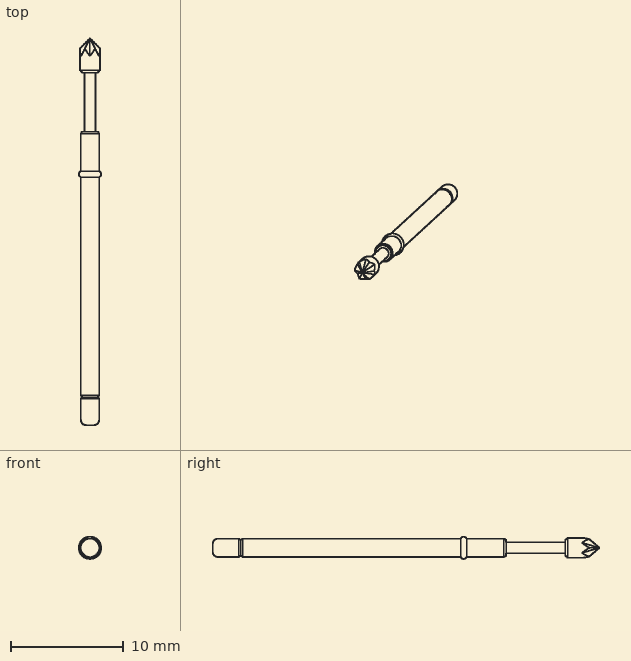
import cadquery as cq
import math

total_length = 34.3

barrel_radius = 0.82
barrel_length = 26.05
mouth_chamfer_length = 0.2
mouth_chamfer_depth = 0.1
tail_fillet = 0.48

ring_radius = 1.0
ring_center = 22.25
ring_width = 0.5

groove_center = 2.5
groove_width = 0.35
groove_depth = 0.15

shaft_diameter = 1.0
head_radius = 0.9
head_length = 3.05
head_back_radius = 0.7
head_back_length = 0.25

ridge_count = 6
ridge_half_angle = 45.0
valley_half_angle = 30.0


def rod(radius, start, length):
    """Cylinder around the Y axis."""
    return cq.Workplane("XZ", origin=(0, start, 0)).circle(radius).extrude(-length)


def make_ring():
    """Ring bulging out of the barrel surface with an arc section."""
    half_width = ring_width / 2
    return (
        cq.Workplane("XY")
        .moveTo(barrel_radius, ring_center - half_width)
        .threePointArc((ring_radius, ring_center), (barrel_radius, ring_center + half_width))
        .close()
        .revolve(360, (0, 0, 0), (0, 1, 0))
    )


def make_crimp_groove():
    """Ring with a V section that dips into the barrel surface."""
    half_width = groove_width / 2
    return (
        cq.Workplane("XY")
        .moveTo(barrel_radius, groove_center - half_width)
        .lineTo(barrel_radius - groove_depth, groove_center)
        .lineTo(barrel_radius, groove_center + half_width)
        .close()
        .revolve(360, (0, 0, 0), (0, 1, 0))
    )


def make_barrel():
    body = rod(barrel_radius, 0, barrel_length).faces("<Y").edges().fillet(tail_fillet)
    body = body.faces(">Y").edges().chamfer(mouth_chamfer_length, mouth_chamfer_depth)
    body = body.union(make_ring())
    return body.cut(make_crimp_groove())


def make_star_point():
    """Star pyramid with its apex at the tip and its base at the back of the head."""
    base_y = total_length - head_length
    apex = cq.Vector(0, total_length, 0)
    corner_count = 2 * ridge_count
    corners = []
    for i in range(corner_count):
        half_angle = ridge_half_angle if i % 2 == 0 else valley_half_angle
        radius = head_length * math.tan(math.radians(half_angle))
        turn = 2 * math.pi * i / corner_count
        corners.append(cq.Vector(radius * math.cos(turn), base_y, radius * math.sin(turn)))

    faces = [cq.Face.makeFromWires(cq.Wire.makePolygon(corners, close=True))]
    for i in range(corner_count):
        triangle = [apex, corners[i], corners[(i + 1) % corner_count]]
        faces.append(cq.Face.makeFromWires(cq.Wire.makePolygon(triangle, close=True)))
    return cq.Workplane(cq.Solid.makeSolid(cq.Shell.makeShell(faces)))


def make_head():
    blank = rod(head_radius, total_length - head_length, head_length)
    blank = blank.faces("<Y").edges().chamfer(head_back_length, head_radius - head_back_radius)
    return blank.intersect(make_star_point())


shaft = rod(shaft_diameter / 2, barrel_length, total_length - head_length - barrel_length)
result = make_barrel().union(shaft).union(make_head())